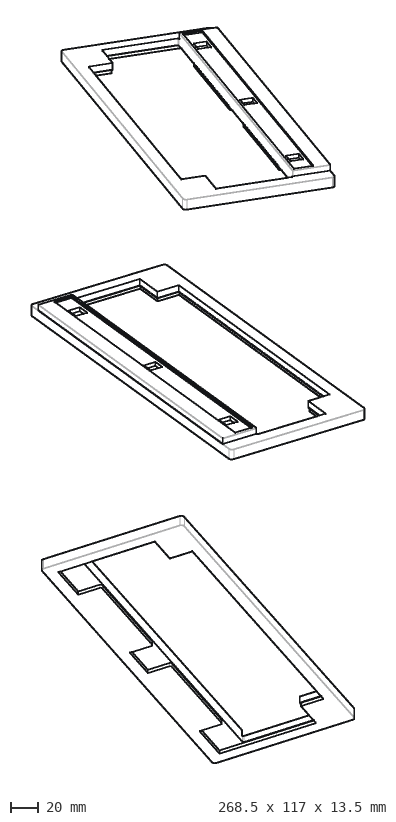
import cadquery as cq

length = 268.5
width = 117.0
frame_height = 8.5
corner_radius = 2.5
edge_radius = 0.32
rail_width = 10.0
pad_length = 33.3
pad_width = 28.5

rebate_width = 0.67
rebate_height = 3.0

total_height = 13.5
bar_length = 246.8
bar_width = 29.5
bar_blend_radius = 0.8

tray_length = 242.3
tray_width = 15.0
tray_back_margin = 12.4
tray_depth = 1.3
socket_width = 10.0
end_socket_length = 10.0
middle_socket_length = 9.0
socket_pitch = 100.7
socket_back_distance = 19.5
socket_depth = 3.2

foot_start = 14.0
foot_end = 94.0
foot_corner_diameter = 2.5

back = width / 2
front = -back
bar_front = back - bar_width
opening_half_length = length / 2 - rail_width
tray_floor = total_height - tray_depth


def block(x_range, y_range, z_range):
    """Box spanning the given (low, high) ranges."""
    lows, highs = zip(x_range, y_range, z_range)
    sizes = [high - low for low, high in zip(lows, highs)]
    return cq.Workplane("XY").box(*sizes, centered=False).translate(lows)


def centered(size, middle=0):
    """Range of the given size around a middle position."""
    return (middle - size / 2, middle + size / 2)


def frame_opening(growth, height):
    """Opening between the rails, narrowed by a pad in each front corner and grown sideways."""
    rail_edge = front + rail_width - growth
    pad_edge = front + pad_width - growth
    wide_length = 2 * (opening_half_length + growth)
    narrow_length = length - 2 * pad_length + 2 * growth
    wide_part = block(centered(wide_length), (pad_edge, back - rail_width), (0, height))
    narrow_part = block(centered(narrow_length), (rail_edge, pad_edge), (0, height))
    return wide_part.union(narrow_part)


def make_frame():
    """Flat frame with its opening and the rebate below it."""
    slab = cq.Workplane("XY").box(length, width, frame_height, centered=(True, True, False))
    slab = slab.edges("|Z").fillet(corner_radius)
    slab = slab.faces("<Z or >Z").edges().fillet(edge_radius)
    slab = slab.cut(frame_opening(0, frame_height))
    return slab.cut(frame_opening(rebate_width, rebate_height))


def make_bar():
    """Rounded bar that rises above the frame."""
    bar = block(centered(bar_length), (bar_front, back), (frame_height, total_height))
    return bar.edges("(|Z and <Y) or >Z").fillet(edge_radius)


def make_bar_base():
    """Web under the bar that closes the back of the opening between the side rails."""
    return block(
        centered(2 * opening_half_length),
        (bar_front, back - rail_width),
        (rebate_height, frame_height),
    )


def make_blend(side):
    """Concave corner fill between the web and a side rail."""
    wall = side * opening_half_length
    inner = wall - side * bar_blend_radius
    tip = bar_front - bar_blend_radius
    arc_reach = bar_blend_radius * (1 - 0.5**0.5)
    return (
        cq.Workplane("XY", origin=(0, 0, rebate_height))
        .moveTo(wall, bar_front)
        .lineTo(wall, tip)
        .threePointArc((wall - side * arc_reach, bar_front - arc_reach), (inner, bar_front))
        .close()
        .extrude(frame_height - rebate_height)
    )


def make_tray():
    """Cutter for the long shallow tray."""
    tray_back = back - tray_back_margin
    tray_front = tray_back - tray_width
    return block(centered(tray_length), (tray_front, tray_back), (tray_floor, total_height))


def make_socket(x, socket_length):
    """Cutter for one socket below the tray floor."""
    return block(
        centered(socket_length, x),
        centered(socket_width, back - socket_back_distance),
        (tray_floor - socket_depth, tray_floor),
    )


def make_foot(side):
    """Foot with rounded front corners on one side of the middle."""
    x_range = sorted((side * foot_start, side * foot_end))
    y_range = (bar_front + rebate_width, back - rail_width)
    foot = block(x_range, y_range, (0, rebate_height))
    return foot.edges("|Z and <Y").fillet(foot_corner_diameter / 2)


result = make_frame().union(make_bar_base()).union(make_bar())
for side in (-1, 1):
    result = result.union(make_blend(side)).union(make_foot(side))

result = result.cut(make_tray())
result = result.cut(make_socket(0, middle_socket_length))
for side in (-1, 1):
    result = result.cut(make_socket(side * socket_pitch, end_socket_length))